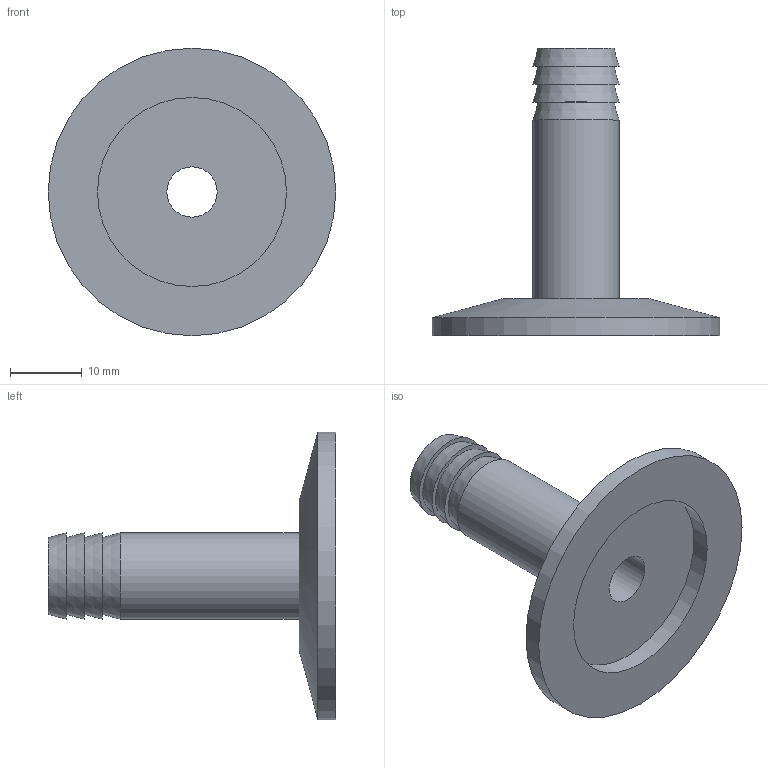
import cadquery as cq
import math

total_length = 40.0
flange_diameter = 40.0
rim_thickness = 2.5
flange_thickness = 5.1
taper_angle = 15.0
recess_diameter = 26.3
recess_depth = 2.6
bore_diameter = 7.0
tube_diameter = 12.0
barb_count = 4
barb_pitch = 2.5

flange_radius = flange_diameter / 2
tube_radius = tube_diameter / 2
taper_slope = math.tan(math.radians(taper_angle))
cone_top_radius = flange_radius - (flange_thickness - rim_thickness) / taper_slope
barb_tip_radius = tube_radius - barb_pitch * taper_slope
barb_start = total_length - barb_count * barb_pitch


def outer_profile():
    """Half section in the YZ plane as (radius, y) points, with the Y axis as its inner edge."""
    points = [
        (0, 0),
        (flange_radius, 0),
        (flange_radius, rim_thickness),
        (cone_top_radius, flange_thickness),
        (tube_radius, flange_thickness),
    ]
    for index in range(barb_count):
        barb_base = barb_start + index * barb_pitch
        points.append((tube_radius, barb_base))
        points.append((barb_tip_radius, barb_base + barb_pitch))
    points.append((0, total_length))
    return points


def cylinder_along_y(diameter, length):
    """Solid cylinder on the Y axis, starting at the sealing face."""
    axis_direction = cq.Vector(0, 1, 0)
    cylinder = cq.Solid.makeCylinder(diameter / 2, length, cq.Vector(0, 0, 0), axis_direction)
    return cq.Workplane(cylinder)


half_section = cq.Workplane("ZY").polyline(outer_profile()).close()
body = half_section.revolve(360, (0, 0, 0), (0, 1, 0))
centring_recess = cylinder_along_y(recess_diameter, recess_depth)
through_bore = cylinder_along_y(bore_diameter, total_length)

result = body.cut(centring_recess).cut(through_bore)